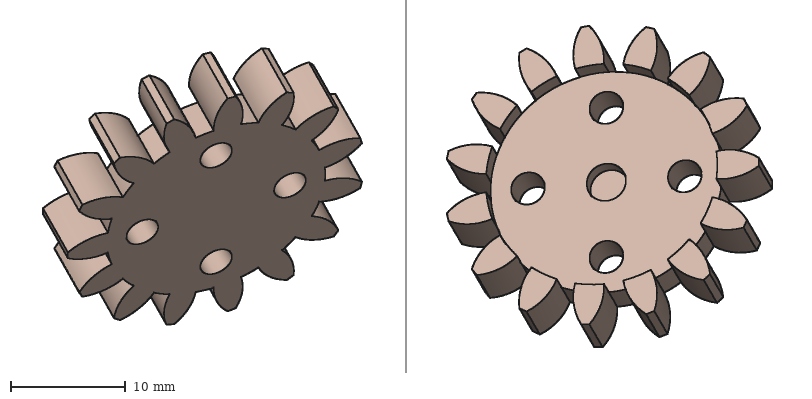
import cadquery as cq
import math

tooth_count = 15
gear_width = 5.6
recess_depth = 2.0
disc_thickness = gear_width - recess_depth

root_radius = 10.34
pitch_radius = 12.4
tip_radius = 14.058

root_half_thickness = 1.30
pitch_half_thickness = 1.19
tip_half_thickness = 0.38

hole_count = 4
hole_diameter = 3.0
hole_circle_radius = 7.0
bore_diameter = 3.5
bore_depth = 1.6

first_tooth_angle = 180.0
tooth_pitch_angle = 360.0 / tooth_count


def flank_point(radius, half_thickness):
    """Point of the +Z flank at a radius, for a tooth pointing along +Y."""
    return (math.sqrt(radius**2 - half_thickness**2), half_thickness)


def mirrored(point):
    """Same point on the opposite flank."""
    return (point[0], -point[1])


def make_disc():
    """Disc filling the root circle behind the recess."""
    disc = cq.Workplane("YZ").workplane(offset=recess_depth).circle(root_radius)
    return disc.extrude(disc_thickness)


def make_tooth():
    """Full-width tooth along +Y with arc flanks and a root that follows the disc."""
    root = flank_point(root_radius, root_half_thickness)
    pitch = flank_point(pitch_radius, pitch_half_thickness)
    tip = flank_point(tip_radius, tip_half_thickness)
    return (
        cq.Workplane("YZ")
        .moveTo(*root)
        .threePointArc(pitch, tip)
        .lineTo(*mirrored(tip))
        .threePointArc(mirrored(pitch), mirrored(root))
        .threePointArc((root_radius, 0), root)
        .close()
        .extrude(gear_width)
    )


def add_teeth(body):
    """Join the ring of teeth to the disc."""
    tooth = make_tooth()
    for index in range(tooth_count):
        angle = first_tooth_angle + index * tooth_pitch_angle
        body = body.union(tooth.rotate((0, 0, 0), (1, 0, 0), angle))
    return body


def cut_holes(body):
    """Cut the ring of through holes and the blind bore from the recessed face."""
    holes = (
        cq.Workplane("YZ")
        .polarArray(hole_circle_radius, 0, 360, hole_count)
        .circle(hole_diameter / 2)
        .extrude(gear_width)
    )
    bore = (
        cq.Workplane("YZ")
        .workplane(offset=recess_depth)
        .circle(bore_diameter / 2)
        .extrude(bore_depth)
    )
    return body.cut(holes).cut(bore)


result = cut_holes(add_teeth(make_disc()))